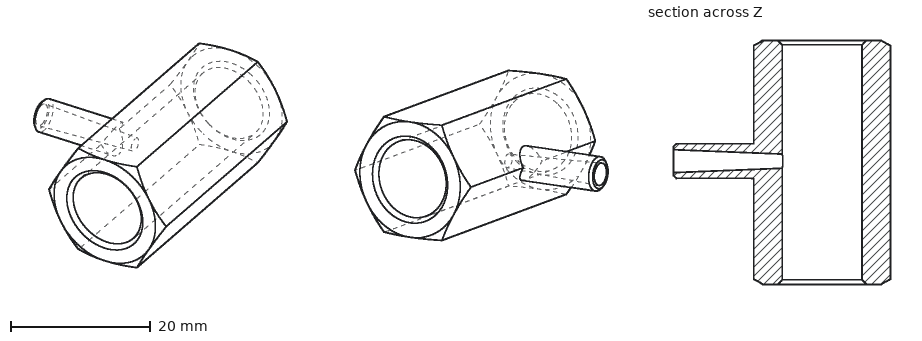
import cadquery as cq
import math

length = 35.0
across_flats = 17.0
across_corners = across_flats / math.cos(math.radians(30))
corner_angle = 30.0
turning_clearance = 0.35
bore_diameter = 11.4
bore_mouth_diameter = 12.75

tube_diameter = 5.0
tube_mouth_diameter = 3.25
port_diameter = 2.0
tube_reach = 21.3
tube_chamfer = 0.42
tube_offset_y = 0.18


def revolve_about_y(profile):
    """Solid of revolution from (radius, y) points."""
    return cq.Workplane("XY").polyline(profile).close().revolve(360, (0, 0, 0), (0, 1, 0))


def hexagonal_body():
    prism = cq.Workplane("XZ").polygon(6, across_corners).extrude(length / 2, both=True)
    face_radius = across_flats / 2
    outer_radius = across_corners / 2 + turning_clearance
    setback = (outer_radius - face_radius) * math.tan(math.radians(corner_angle))
    half = length / 2
    envelope = revolve_about_y([
        (0, -half), (face_radius, -half), (outer_radius, setback - half),
        (outer_radius, half - setback), (face_radius, half), (0, half),
    ])
    return prism.intersect(envelope)


def bore():
    radius = bore_diameter / 2
    mouth_radius = bore_mouth_diameter / 2
    half = length / 2
    shoulder = half - (mouth_radius - radius)
    return revolve_about_y([
        (0, -half), (mouth_radius, -half), (radius, -shoulder),
        (radius, shoulder), (mouth_radius, half), (0, half),
    ])


def side_tube():
    """Chamfered cylinder from the sleeve axis out to the tube tip."""
    plane = cq.Workplane("YZ", origin=(-tube_reach, tube_offset_y, 0))
    rod = plane.circle(tube_diameter / 2).extrude(tube_reach)
    return rod.faces("<X").chamfer(tube_chamfer)


def tapered_tube_hole():
    """Cone narrowing from the tube tip to the bore wall, then straight into the bore."""
    mouth_radius = tube_mouth_diameter / 2
    port_radius = port_diameter / 2
    taper_length = tube_reach - bore_diameter / 2
    profile = [
        (0, 0), (0, mouth_radius), (taper_length, port_radius),
        (tube_reach, port_radius), (tube_reach, 0),
    ]
    hole = cq.Workplane("XY").polyline(profile).close().revolve(360, (0, 0, 0), (1, 0, 0))
    return hole.translate((-tube_reach, tube_offset_y, 0))


result = hexagonal_body().union(side_tube()).cut(bore()).cut(tapered_tube_hole())